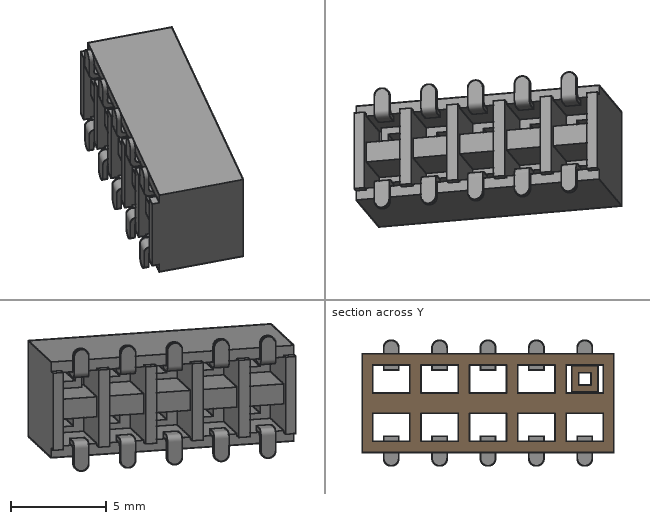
import cadquery as cq

length = 13.2
body_height = 5.2
body_depth = 4.6
columns = 5
end_margin = 0.25
pitch = (length - 2 * end_margin) / columns

rib_projection = 0.4
rib_height = 4.18
rib_width = 0.61

chamber_top = 1.99
chamber_bottom = 0.54
chamber_depth = 2.64
chamber_width = pitch - rib_width
chamber_height = chamber_top - chamber_bottom

pin_width = 0.8
pin_thickness = 0.26
pin_tip = 3.3
pin_standoff = 0.1
pin_projection = rib_projection + pin_standoff
pin_leg_length = 0.91
outer_bend_radius = 0.32
inner_bend_radius = 0.21

opening = pin_width
sleeve_size = 1.39
sleeve_length = 0.66
sleeve_opening = 0.63

column_x = [(i - (columns - 1) / 2) * pitch for i in range(columns)]
row_z = pitch / 2


def block(width, height, y_front, y_rear, x=0.0, z=0.0):
    """Box centred on x and z that spans y_front to y_rear."""
    depth = y_rear - y_front
    return cq.Workplane("XY").box(width, depth, height).translate((x, y_front + depth / 2, z))


def make_housing():
    """Body with ribbed front and two rows of chambers."""
    body = block(length, body_height, 0, body_depth)
    body = body.union(block(length, rib_height, -rib_projection, 0))
    chamber_z = (chamber_top + chamber_bottom) / 2
    for x in column_x:
        body = body.cut(block(chamber_width, rib_height, -rib_projection, 0, x))
        for side in (-1, 1):
            body = body.cut(block(chamber_width, chamber_height, 0, chamber_depth, x, side * chamber_z))
    return body


def make_pin():
    """Upper pin at X = 0: a leg along the chamber wall, bent up into a round-ended tail."""
    tail_front = -pin_projection
    tail_rear = tail_front + pin_thickness
    leg_end = tail_front + pin_leg_length
    leg_inner = chamber_top - pin_thickness
    profile = (
        cq.Workplane("YZ")
        .moveTo(leg_end, leg_inner)
        .lineTo(tail_front + outer_bend_radius, leg_inner)
        .radiusArc((tail_front, leg_inner + outer_bend_radius), outer_bend_radius)
        .lineTo(tail_front, pin_tip)
        .lineTo(tail_rear, pin_tip)
        .lineTo(tail_rear, chamber_top + inner_bend_radius)
        .radiusArc((tail_rear + inner_bend_radius, chamber_top), -inner_bend_radius)
        .lineTo(leg_end, chamber_top)
        .close()
    )
    pin = profile.extrude(pin_width / 2, both=True)
    rounded_outline = cq.Workplane("XZ").slot2D(2 * pin_tip, pin_width, 90)
    return pin.intersect(rounded_outline.extrude(pin_leg_length, both=True))


def add_pins(part):
    upper_pin = make_pin()
    lower_pin = upper_pin.mirror("XY")
    for x in column_x:
        for pin in (upper_pin, lower_pin):
            part = part.union(pin.translate((x, 0, 0)))
    return part


def cut_openings(part):
    """Plain openings everywhere except the first upper chamber, which has a sleeve."""
    first_x = column_x[0]
    for x in column_x:
        part = part.cut(block(opening, opening, chamber_depth, body_depth, x, -row_z))
        if x != first_x:
            part = part.cut(block(opening, opening, chamber_depth, body_depth, x, row_z))
    sleeve_front = chamber_depth - sleeve_length
    part = part.union(block(sleeve_size, sleeve_size, sleeve_front, chamber_depth, first_x, row_z))
    return part.cut(block(sleeve_opening, sleeve_opening, sleeve_front, body_depth, first_x, row_z))


result = cut_openings(add_pins(make_housing()))